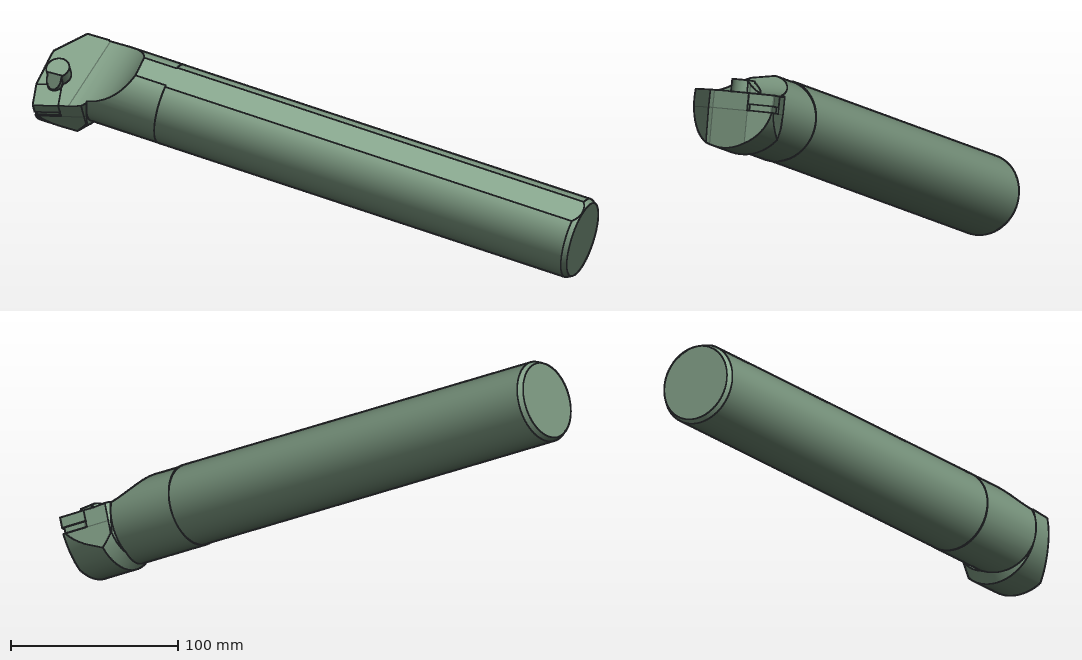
import cadquery as cq
import math

TOTAL_LENGTH = 350.0
SHANK_DIAMETER = 49.5
SHANK_RADIUS = SHANK_DIAMETER / 2
FLAT_HEIGHT = 23.0
SHANK_START = 79.8
END_CHAMFER_LENGTH = 3.0
END_CHAMFER_DEPTH = 1.8

NECK_OFFSET_Y = 0.5
NECK_OFFSET_Z = -0.5

HEAD_RADIUS = 29.8
HEAD_OFFSET_Y = -5.0
HEAD_STRAIGHT_END = 29.0
HEAD_CONE_END = 35.5
HEAD_CONE_RADIUS = 23.5

FACE_HEIGHT = 5.0
FACE_SLOPE_X = 0.1
FACE_SLOPE_Y = 0.17
FACE_FLAT_LENGTH = 28.0
FACE_ARC_RADIUS = 49.0
FACE_ARC_ANGLE = math.radians(75)
FACE_TURN = -6.0

FRONT_FACET_Y = 3.0
FRONT_FACET_DEPTH = 0.5
FRONT_CORNER_Y = 6.0
BEVEL_ANGLE = math.radians(50)
FLANK_END_X = 33.0
RELIEF_ANGLE = 2.0

INSERT_SIDE = 15.8
INSERT_THICKNESS = 6.5
INSERT_CORNER_RADIUS = 0.52
INSERT_ANGLE = 15.0
INSERT_TIP_X = INSERT_SIDE * math.sin(math.radians(INSERT_ANGLE))
INSERT_TIP_Y = -35.5
SHIM_THICKNESS = 4.0
SHIM_INSET = 1.0
SEAT_DEPTH = INSERT_THICKNESS + SHIM_THICKNESS

CLAMP_X = 11.2
CLAMP_Y = -10.0
CLAMP_RADIUS = 7.0
CLAMP_HEIGHT = 7.7
NOSE_RADIUS = 4.5
NOSE_REACH = 7.0
NOSE_TIP_HEIGHT = 1.0
NOSE_SLOPE_RUN = 7.0

MARGIN = 70.0

FACE_PLANE = cq.Plane(
    origin=(0, 0, FACE_HEIGHT),
    xDir=(1, 0, FACE_SLOPE_X),
    normal=(-FACE_SLOPE_X, -FACE_SLOPE_Y, 1),
)


def on_face(shape):
    """Move a shape built in local axes into the rake face frame."""
    return cq.Workplane(shape.val().moved(cq.Location(FACE_PLANE)))


def bar(radius, start, end, offset_y=0.0, offset_z=0.0):
    """Cylinder along X between two X positions."""
    return (
        cq.Workplane("YZ", origin=(start, offset_y, offset_z))
        .circle(radius)
        .extrude(end - start)
    )


def make_shank():
    chamfer_start = TOTAL_LENGTH - END_CHAMFER_LENGTH
    shank = (
        cq.Workplane("XY")
        .moveTo(SHANK_START, 0)
        .lineTo(SHANK_START, SHANK_RADIUS)
        .lineTo(chamfer_start, SHANK_RADIUS)
        .lineTo(TOTAL_LENGTH, SHANK_RADIUS - END_CHAMFER_DEPTH)
        .lineTo(TOTAL_LENGTH, 0)
        .close()
        .revolve(360, (0, 0, 0), (1, 0, 0))
    )
    neck = bar(SHANK_RADIUS, HEAD_STRAIGHT_END, SHANK_START, NECK_OFFSET_Y, NECK_OFFSET_Z)
    above_flat = cq.Workplane("XY", origin=(0, 0, FLAT_HEIGHT)).rect(
        2 * TOTAL_LENGTH + MARGIN, MARGIN
    ).extrude(MARGIN)
    return shank.union(neck).cut(above_flat)


def flank_outline(plane):
    """Outline of the head: front edge, +Y bevel and the flank behind the insert."""
    side_slope = math.tan(math.radians(INSERT_ANGLE))
    flank_end_y = INSERT_TIP_Y + (FLANK_END_X - INSERT_TIP_X) * side_slope
    corner_x = FRONT_FACET_DEPTH
    bevel_run = MARGIN / 2
    return (
        plane.moveTo(0, INSERT_TIP_Y + INSERT_SIDE * math.cos(math.radians(INSERT_ANGLE)))
        .lineTo(0, FRONT_FACET_Y)
        .lineTo(corner_x, FRONT_CORNER_Y)
        .lineTo(corner_x + bevel_run, FRONT_CORNER_Y + bevel_run * math.tan(BEVEL_ANGLE))
        .lineTo(MARGIN, FRONT_CORNER_Y + bevel_run * math.tan(BEVEL_ANGLE))
        .lineTo(MARGIN, flank_end_y + MARGIN - FLANK_END_X)
        .lineTo(FLANK_END_X, flank_end_y)
        .lineTo(INSERT_TIP_X, INSERT_TIP_Y)
        .close()
    )


def make_head():
    front_overhang = 7.0
    cylinder = (
        cq.Workplane("XY")
        .moveTo(-front_overhang, 0)
        .lineTo(-front_overhang, HEAD_RADIUS)
        .lineTo(HEAD_STRAIGHT_END, HEAD_RADIUS)
        .lineTo(HEAD_CONE_END, HEAD_CONE_RADIUS)
        .lineTo(HEAD_CONE_END, 0)
        .close()
        .revolve(360, (0, 0, 0), (1, 0, 0))
        .translate((0, HEAD_OFFSET_Y, 0))
    )
    upper = flank_outline(cq.Workplane("XY", origin=(0, 0, -SEAT_DEPTH))).extrude(
        SEAT_DEPTH + MARGIN
    )
    lower = flank_outline(cq.Workplane("XY", origin=(0, 0, -SEAT_DEPTH))).extrude(
        -MARGIN, taper=RELIEF_ANGLE
    )
    return cylinder.intersect(on_face(upper.union(lower)))


def make_face_cut():
    """Volume above the rake face and the arc that runs up out of the bar."""
    def arc_point(angle):
        return (
            FACE_FLAT_LENGTH + FACE_ARC_RADIUS * math.sin(angle),
            FACE_ARC_RADIUS * (1 - math.cos(angle)),
        )

    arc_end = arc_point(FACE_ARC_ANGLE)
    profile = (
        cq.Workplane("XZ")
        .moveTo(-MARGIN, 0)
        .lineTo(FACE_FLAT_LENGTH, 0)
        .threePointArc(arc_point(FACE_ARC_ANGLE / 2), arc_end)
        .lineTo(arc_end[0], MARGIN)
        .lineTo(-MARGIN, MARGIN)
        .close()
    )
    return on_face(profile.extrude(MARGIN, both=True).rotate((0, 0, 0), (0, 0, 1), FACE_TURN))


def make_plate(thickness, top, inset=0.0):
    """Square plate at the cutting corner, its top a given depth below the face."""
    side = INSERT_SIDE - 2 * inset
    plate = (
        cq.Workplane("XY")
        .rect(side, side)
        .extrude(-thickness)
        .edges("|Z")
        .fillet(INSERT_CORNER_RADIUS)
        .translate((INSERT_SIDE / 2, INSERT_SIDE / 2, -top))
        .rotate((0, 0, 0), (0, 0, 1), INSERT_ANGLE)
        .translate((INSERT_TIP_X, INSERT_TIP_Y, 0))
    )
    return on_face(plate)


def make_seat_cut():
    """Open corner pocket that holds the shim and the insert."""
    pocket = (
        cq.Workplane("XY")
        .rect(MARGIN, MARGIN)
        .extrude(-SEAT_DEPTH)
        .translate((INSERT_SIDE - MARGIN / 2, INSERT_SIDE - MARGIN / 2, 0))
        .rotate((0, 0, 0), (0, 0, 1), INSERT_ANGLE)
        .translate((INSERT_TIP_X, INSERT_TIP_Y, 0))
    )
    return on_face(pocket)


def make_clamp():
    nose_y = CLAMP_Y - NOSE_REACH
    nose_tip_y = nose_y - NOSE_RADIUS
    slope_start_y = nose_tip_y + NOSE_SLOPE_RUN
    head = cq.Workplane("XY").center(CLAMP_X, CLAMP_Y).circle(CLAMP_RADIUS).extrude(CLAMP_HEIGHT)
    nose = cq.Workplane("XY").center(CLAMP_X, nose_y).circle(NOSE_RADIUS).extrude(CLAMP_HEIGHT)
    bridge = (
        cq.Workplane("XY")
        .center(CLAMP_X, (CLAMP_Y + nose_y) / 2)
        .rect(2 * NOSE_RADIUS, NOSE_REACH)
        .extrude(CLAMP_HEIGHT)
    )
    slope = (
        cq.Workplane("YZ")
        .moveTo(slope_start_y, CLAMP_HEIGHT)
        .lineTo(nose_tip_y, NOSE_TIP_HEIGHT)
        .lineTo(nose_tip_y, CLAMP_HEIGHT)
        .close()
        .extrude(MARGIN, both=True)
    )
    return on_face(head.union(bridge).union(nose).cut(slope))


def make_insert():
    return make_plate(INSERT_THICKNESS, 0)


def make_holder(insert):
    shim = make_plate(SHIM_THICKNESS, INSERT_THICKNESS, SHIM_INSET)
    body = make_shank().union(make_head()).cut(make_face_cut()).cut(make_seat_cut())
    return body.union(shim).union(make_clamp()).cut(insert)


insert = make_insert()
holder = make_holder(insert)

result = cq.Compound.makeCompound([holder.val(), insert.val()])